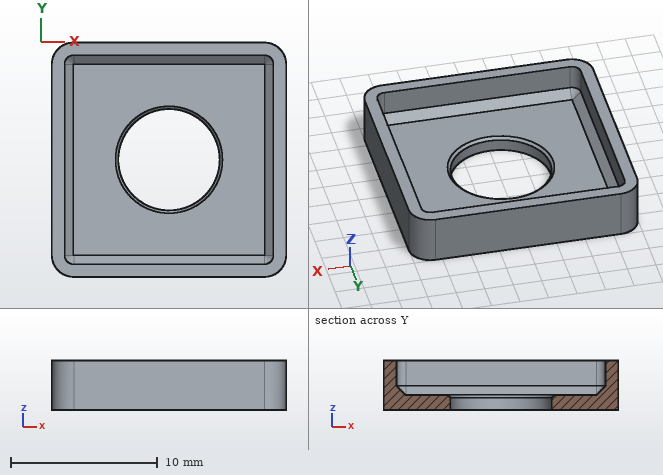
import cadquery as cq

side = 16.0
height = 3.4
outer_corner_radius = 1.5
wall = 0.875
floor = 1.05
inner_chamfer = 0.6
hole_diameter = 6.9
hole_chamfer = 0.2

pocket_side = side - 2 * wall
inner_corner_radius = outer_corner_radius - wall


def tray_body():
    """Square block with rounded vertical corners, resting on Z = 0."""
    block = cq.Workplane("XY").box(side, side, height, centered=(True, True, False))
    return block.edges("|Z").fillet(outer_corner_radius)


def pocket():
    """Open pocket whose lower edge is chamfered all round."""
    depth = height - floor
    cavity = (
        cq.Workplane("XY", origin=(0, 0, floor))
        .box(pocket_side, pocket_side, depth, centered=(True, True, False))
        .edges("|Z")
        .fillet(inner_corner_radius)
    )
    return cavity.faces("<Z").edges().chamfer(inner_chamfer)


def centre_hole():
    """Through hole with a small chamfer at the pocket floor."""
    radius = hole_diameter / 2
    profile = (
        cq.Workplane("XZ")
        .lineTo(radius, 0)
        .lineTo(radius, floor - hole_chamfer)
        .lineTo(radius + hole_chamfer, floor)
        .lineTo(0, floor)
        .close()
    )
    return profile.revolve(360, (0, 0, 0), (0, 1, 0))


result = tray_body().cut(pocket()).cut(centre_hole())